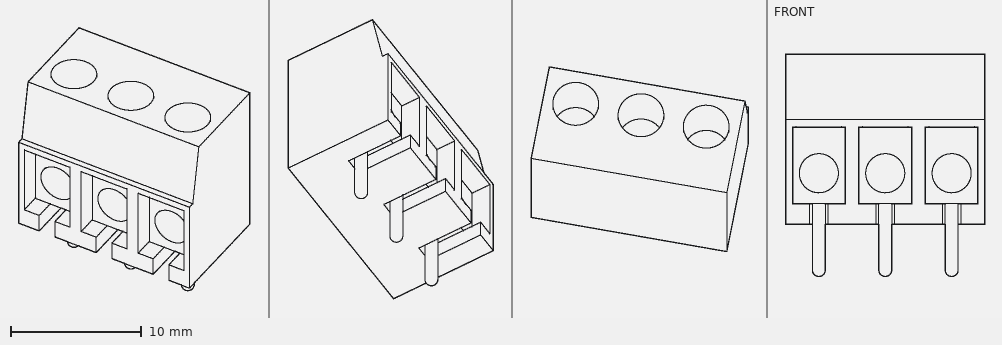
import cadquery as cq


pole_count = 3
housing_width = 15.23
pitch = housing_width / pole_count
pole_positions = [(i - (pole_count - 1) / 2) * pitch for i in range(pole_count)]

front_y = -4.0
back_y = 5.0
housing_height = 13.0
step_height = 8.0
step_width = 0.5
top_setback = 1.4

clamp_width = 3.98
clamp_depth = 4.83
clamp_bottom = 1.58
clamp_top = 7.41
wire_hole_diameter = 3.0
wire_hole_z = 3.91

pin_diameter = 1.0
pin_bottom = -4.0

clamp_clearance = 0.042
screw_hole_diameter = 3.5
slot_width = 1.4
slot_end_y = slot_width / 2

cavity_width = clamp_width + 2 * clamp_clearance
cavity_bottom = clamp_bottom - clamp_clearance
cavity_top = clamp_top + clamp_clearance
cavity_back_y = clamp_depth / 2


def box(x_center, width, y_start, y_end, z_start, z_end):
    """Upright box centred on x_center and spanning the given Y and Z ranges."""
    return (
        cq.Workplane("XY")
        .box(width, y_end - y_start, z_end - z_start, centered=(True, False, False))
        .translate((x_center, y_start, z_start))
    )


def make_housing_block():
    """Plain housing with the sloped upper front."""
    profile = [
        (front_y, 0),
        (front_y, step_height),
        (front_y + step_width, step_height),
        (front_y + top_setback, housing_height),
        (back_y, housing_height),
        (back_y, 0),
    ]
    return cq.Workplane("YZ").polyline(profile).close().extrude(housing_width / 2, both=True)


def make_cavity(x):
    """Rectangular cavity, open to the front, in which the clamp sits set back from the front face."""
    return box(x, cavity_width, front_y, cavity_back_y, cavity_bottom, cavity_top)


def make_pin_slot(x):
    """Slot through the cavity floor, open to the front, that clears the pin."""
    return box(x, slot_width, front_y, slot_end_y, 0, cavity_bottom)


def make_screw_hole(x):
    """Round hole from the top face down into the cavity."""
    return (
        cq.Workplane("XY", origin=(x, 0, cavity_top))
        .circle(screw_hole_diameter / 2)
        .extrude(housing_height - cavity_top)
    )


def make_housing():
    """Housing with a clamp cavity, pin slot and screw hole at each pole."""
    body = make_housing_block()
    for x in pole_positions:
        for make_cut in (make_cavity, make_pin_slot, make_screw_hole):
            body = body.cut(make_cut(x))
    return body


def make_clamp(x):
    """Clamp block with the wire hole running through it from front to back."""
    block = box(x, clamp_width, -clamp_depth / 2, clamp_depth / 2, clamp_bottom, clamp_top)
    wire_hole = (
        cq.Workplane("XZ", origin=(x, 0, wire_hole_z))
        .circle(wire_hole_diameter / 2)
        .extrude(clamp_depth / 2, both=True)
    )
    return block.cut(wire_hole)


def make_pin(x):
    """Round pin with a hemispherical tip, reaching up to the clamp."""
    radius = pin_diameter / 2
    tip_center_z = pin_bottom + radius
    profile = (
        cq.Workplane("XZ", origin=(x, 0, 0))
        .moveTo(0, clamp_bottom)
        .lineTo(radius, clamp_bottom)
        .lineTo(radius, tip_center_z)
        .radiusArc((0, pin_bottom), radius)
        .close()
    )
    return profile.revolve(360, (0, 0, 0), (0, 1, 0))


def make_terminal(x):
    """Clamp and pin as one piece of metal."""
    return make_clamp(x).union(make_pin(x))


housing = make_housing()
terminals = [make_terminal(x) for x in pole_positions]

result = cq.Compound.makeCompound([
    housing.solids().val(),
    *[terminal.solids().val() for terminal in terminals],
])